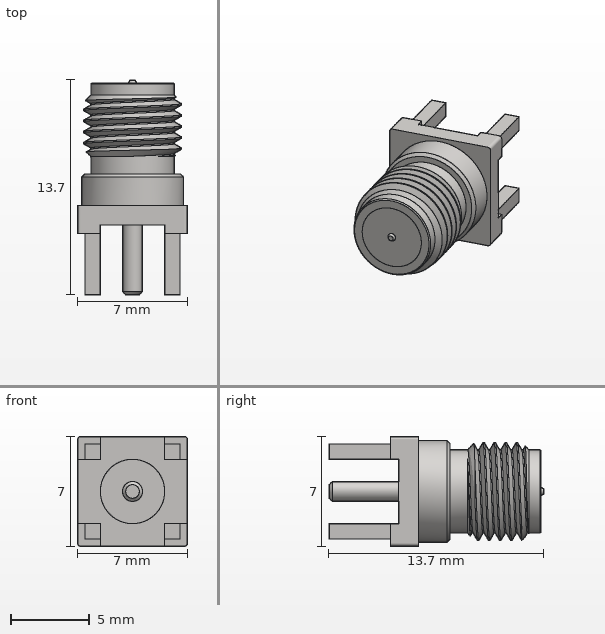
import cadquery as cq
import math


flange_width = 7.0
flange_top = 1.8
flange_corner_radius = 0.2
foot_height = 0.53
foot_inner = 2.05
leg_width = 0.98
leg_length = 3.9

collar_diameter = 6.5
collar_length = 2.0
collar_chamfer = 0.2
barrel_diameter = 5.32
barrel_chamfer = 0.08
collar_top = flange_top + collar_length
barrel_top = 9.6

thread_pitch = 25.4 / 36
thread_diameter = 6.24
thread_start = 4.91
thread_end = 8.82
crest_flat = thread_pitch / 8
flank_angle = 30
first_turn_height = 3.995

bore_diameter = 4.1
insulator_recess = 0.1
insulator_bottom = foot_height + insulator_recess
pin_diameter = 1.27
pin_chamfer = 0.2
pin_top = 9.77
pin_tip_diameter = 0.33
pin_tip_cone_angle = 30


def cylinder(diameter, bottom, top):
    """Cylinder on the Y axis between two heights."""
    return cq.Workplane("XZ", origin=(0, bottom, 0)).circle(diameter / 2).extrude(bottom - top)


def box(x_range, y_range, z_range):
    """Box between two limits along each axis."""
    sizes = [high - low for low, high in (x_range, y_range, z_range)]
    corner = (x_range[0], y_range[0], z_range[0])
    return cq.Workplane("XY").box(*sizes, centered=False).translate(corner)


def make_flange():
    """Square plate whose underside is relieved by a cross, leaving four feet, each with a leg."""
    half = flange_width / 2
    flange = box((-half, half), (0, flange_top), (-half, half))
    flange = flange.edges("|Y").fillet(flange_corner_radius)
    relief = (0, foot_height)
    flange = flange.cut(box((-half, half), relief, (-foot_inner, foot_inner)))
    flange = flange.cut(box((-foot_inner, foot_inner), relief, (-half, half)))

    leg_center = foot_inner + leg_width / 2
    half_leg = leg_width / 2
    for x in (-leg_center, leg_center):
        for z in (-leg_center, leg_center):
            leg = box((x - half_leg, x + half_leg), (-leg_length, flange_top), (z - half_leg, z + half_leg))
            flange = flange.union(leg)
    return flange


def make_thread_turns():
    """Turns of the helical ridge, each cut to a cylinder with 45 degree cones at both ends."""
    crest_radius = thread_diameter / 2
    root_radius = barrel_diameter / 2
    depth = crest_radius - root_radius
    embed = 0.03
    base_radius = root_radius - embed
    peak_radius = crest_radius + embed

    def half_width(radius):
        """Half the ridge width along the axis at a distance from the axis."""
        return crest_flat / 2 + (crest_radius - radius) * math.tan(math.radians(flank_angle))

    helix = cq.Wire.makeHelix(thread_pitch, thread_pitch, root_radius)
    profile = [
        (base_radius, -half_width(base_radius)),
        (peak_radius, -half_width(peak_radius)),
        (peak_radius, half_width(peak_radius)),
        (base_radius, half_width(base_radius)),
    ]
    turn = cq.Workplane("XZ").polyline(profile).close().sweep(cq.Workplane(helix), isFrenet=True)
    turn = turn.rotate((0, 0, 0), (1, 0, 0), -90)

    limits = [
        (0, thread_start),
        (root_radius, thread_start),
        (crest_radius, thread_start + depth),
        (crest_radius, thread_end - depth),
        (root_radius, thread_end),
        (0, thread_end),
    ]
    envelope = cq.Workplane("XY").polyline(limits).close().revolve(360, (0, 0), (0, 1))
    turns = math.ceil((thread_end + half_width(base_radius) - first_turn_height) / thread_pitch)
    heights = [first_turn_height + index * thread_pitch for index in range(turns)]
    return [envelope.intersect(turn.translate((0, height, 0))) for height in heights]


def make_housing():
    """Flange, collar and threaded barrel with a bore right through."""
    collar = cylinder(collar_diameter, flange_top, collar_top).faces(">Y").chamfer(collar_chamfer)
    barrel = cylinder(barrel_diameter, flange_top, barrel_top).faces(">Y").chamfer(barrel_chamfer)
    bore = cylinder(bore_diameter, foot_height, barrel_top)
    for turn in make_thread_turns():
        barrel = barrel.union(turn, clean=False)
    barrel = barrel.cut(bore, clean=False)
    base = make_flange().union(collar).cut(bore)
    return base.union(barrel, clean=False)


def make_pin():
    """Straight pin, chamfered at the solder end and conical at the contact end."""
    radius = pin_diameter / 2
    tip_radius = pin_tip_diameter / 2
    cone_length = (radius - tip_radius) / math.tan(math.radians(pin_tip_cone_angle))
    outline = [
        (0, -leg_length),
        (radius - pin_chamfer, -leg_length),
        (radius, -leg_length + pin_chamfer),
        (radius, pin_top - cone_length),
        (tip_radius, pin_top),
        (0, pin_top),
    ]
    return cq.Workplane("XY").polyline(outline).close().revolve(360, (0, 0), (0, 1))


housing = make_housing()
pin = make_pin()

insulator = cylinder(bore_diameter, insulator_bottom, barrel_top).cut(pin)

result = cq.Compound.makeCompound([housing.val(), insulator.val(), pin.val()])